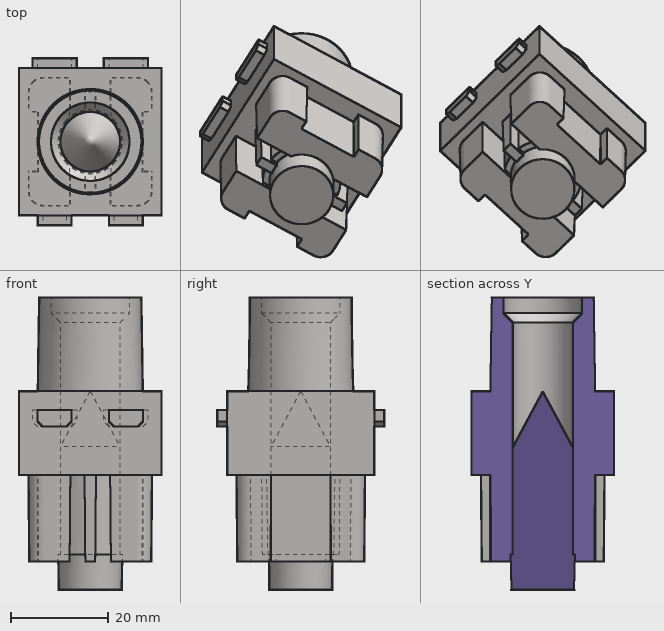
import cadquery as cq
import math

overall_height = 60.1
block_top = 40.85
block_bottom = 23.6
skirt_bottom = 5.8
collar_bottom = 7.3

draft_angle = 0.5
round_draft_angle = 0.9
nose_slope = math.tan(math.radians(round_draft_angle))

block_width = 29.3
block_depth = 30.3

overall_depth = 34.4
lug_reach = (overall_depth - block_depth) / 2
lug_offset = 7.35
front_lug_width = 7.0
back_lug_width = 9.15
lug_height = 3.5
lug_top = 37.0
lug_chamfer = 1.1

tower_top_radius = 10.5
mouth_radius = 8.05
mouth_depth = 3.25
bore_radius = 6.15
funnel_depth = mouth_radius - bore_radius

skirt_width = 25.4
skirt_depth = 26.45
skirt_corner_radius = 3.05
slot_width = 8.2
side_recess_length = 12.15
side_recess_depth = 1.9
collar_radius = 8.1
rib_width = 2.35
rib_span = 20.7

plug_end_radius = 6.5
plug_tip_top = block_top
plug_tip_height = 11.4


def tapered_rectangle(width, depth, top, bottom, taper):
    """Rectangle at the upper level, extruded down with a taper that shrinks it when positive."""
    return cq.Workplane("XY").workplane(offset=top).rect(width, depth).extrude(bottom - top, taper=taper)


def make_lug(x, side, width):
    """Lug on the Y face given by side (-1 or 1), with its two lower corners bevelled."""
    face_y = side * block_depth / 2
    lug = (
        cq.Workplane("XY")
        .box(width, lug_reach, lug_height)
        .edges("|Y and <Z")
        .chamfer(lug_chamfer)
    )
    return lug.translate((x, face_y + side * lug_reach / 2, lug_top - lug_height / 2))


def make_tower():
    """Round tower that widens towards the block."""
    height = overall_height - block_top
    return (
        cq.Workplane("XY")
        .workplane(offset=overall_height)
        .circle(tower_top_radius)
        .extrude(-height, taper=-round_draft_angle)
    )


def make_skirt():
    """Rounded skirt with slotted Y sides, recessed X sides, and a ribbed collar in the slots."""
    height = block_bottom - skirt_bottom
    outline = cq.Sketch().rect(skirt_width, skirt_depth).vertices().fillet(skirt_corner_radius)
    skirt = (
        cq.Workplane("XY")
        .workplane(offset=block_bottom)
        .placeSketch(outline)
        .extrude(-height, taper=draft_angle)
    )
    skirt = skirt.cut(
        tapered_rectangle(slot_width, 2 * skirt_depth, block_bottom, skirt_bottom, -draft_angle)
    )
    for side in (-1, 1):
        recess = tapered_rectangle(
            2 * side_recess_depth, side_recess_length, block_bottom, skirt_bottom, -draft_angle
        )
        skirt = skirt.cut(recess.translate((side * skirt_width / 2, 0, 0)))
    rib = tapered_rectangle(rib_width, rib_span, block_bottom, skirt_bottom, draft_angle)
    collar = (
        cq.Workplane("XY")
        .workplane(offset=block_bottom)
        .circle(collar_radius)
        .extrude(collar_bottom - block_bottom, taper=draft_angle)
    )
    return skirt.union(rib).union(collar)


def make_bore():
    """Through bore with a wide mouth and a 45 degree funnel, a half profile turned about Z."""
    mouth_floor = overall_height - mouth_depth
    return (
        cq.Workplane("XZ")
        .lineTo(bore_radius, 0)
        .lineTo(bore_radius, mouth_floor - funnel_depth)
        .lineTo(mouth_radius, mouth_floor)
        .lineTo(mouth_radius, overall_height)
        .lineTo(0, overall_height)
        .close()
        .revolve(360, (0, 0), (0, 1))
    )


def make_plug():
    """Plug with a conical tip in the bore and a wider drafted nose below the collar."""
    nose_top_radius = plug_end_radius + collar_bottom * nose_slope
    return (
        cq.Workplane("XZ")
        .lineTo(plug_end_radius, 0)
        .lineTo(nose_top_radius, collar_bottom)
        .lineTo(bore_radius, collar_bottom)
        .lineTo(bore_radius, plug_tip_top - plug_tip_height)
        .lineTo(0, plug_tip_top)
        .close()
        .revolve(360, (0, 0), (0, 1))
    )


def make_housing(plug):
    """Block with its tower, skirt and lugs, bored out to take the plug."""
    block = cq.Workplane("XY").box(block_width, block_depth, block_top - block_bottom)
    housing = block.translate((0, 0, (block_top + block_bottom) / 2))
    housing = housing.union(make_tower()).union(make_skirt())
    for side, width in ((-1, front_lug_width), (1, back_lug_width)):
        for x in (-lug_offset, lug_offset):
            housing = housing.union(make_lug(x, side, width))
    return housing.cut(make_bore()).cut(plug).solids()


plug = make_plug()
housing = make_housing(plug)

result = cq.Compound.makeCompound([housing.val(), plug.val()])